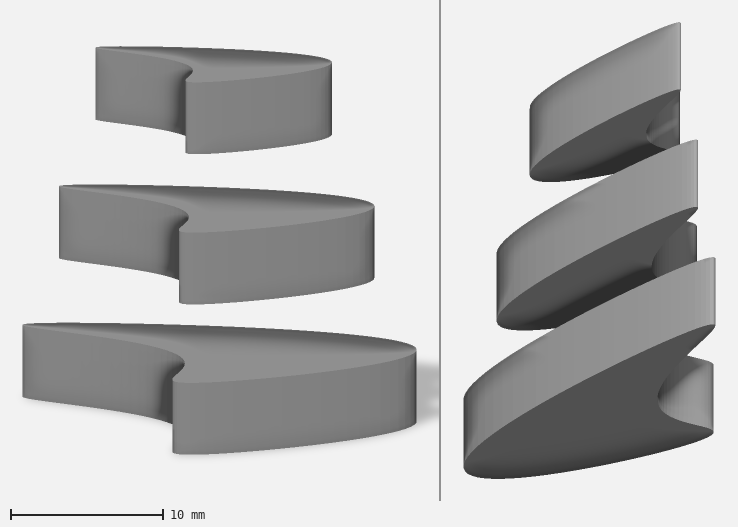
import cadquery as cq
import math

stack_length = 25.97
stack_height = 25.0
blade_scales = [1.0, 0.8, 0.6]
width_ratio = 0.5
phase_lag = math.radians(90)
facet_count = 100

layer_count = 2 * len(blade_scales) - 1
blade_height = stack_height / layer_count
blade_pitch = 2 * blade_height


def wave(angle):
    """Cardioid wave: a sine plus half of its second harmonic."""
    return math.sin(angle) + math.sin(2 * angle) / 2


facet_angles = [2 * math.pi * i / facet_count for i in range(facet_count)]

wave_peak = max(wave(angle) for angle in facet_angles)
x_amplitude = stack_length / (2 * wave_peak)
y_amplitude = x_amplitude * width_ratio


def make_blade(scale, base_z):
    """Straight prism over the swept-back outline, scaled about the Z axis."""
    outline = [
        (
            scale * x_amplitude * wave(angle),
            -scale * y_amplitude * wave(angle - phase_lag),
        )
        for angle in facet_angles
    ]
    return cq.Workplane("XY").workplane(offset=base_z).polyline(outline).close().extrude(blade_height)


blades = [make_blade(scale, level * blade_pitch) for level, scale in enumerate(blade_scales)]

result = cq.Compound.makeCompound([blade.val() for blade in blades])